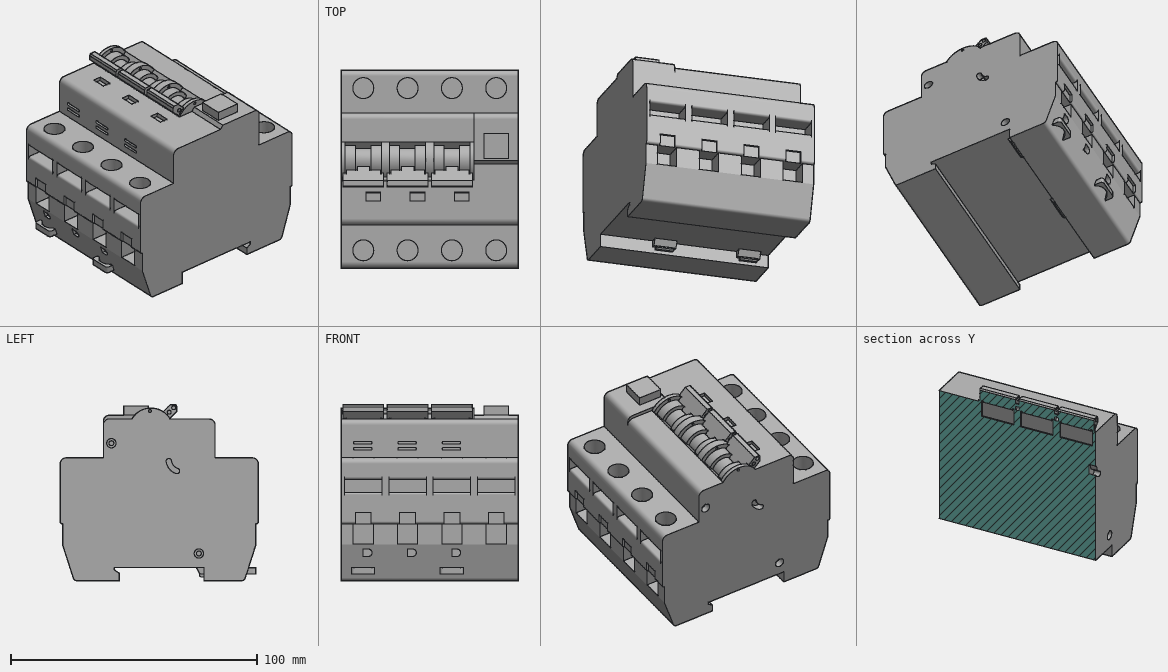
import cadquery as cq
import math


module_width = 18.0
pole_count = 3
module_count = 4
total_width = module_count * module_width
poles_width = pole_count * module_width

half_depth = 40.3
skirt_half_depth = 39.3
foot_half_depth = 34.6
crown_half_depth = 22.75
foot_slope_top = 14.6
skirt_top = 23.1
shoulder_height = 50.0
crown_height = 65.75
edge_radius = 2.5
foot_radius = 1.6
skirt_lip_radius = 0.95

rail_front = -18.1
rail_rear = 16.2
rail_height = 5.4
rail_lip_undercut = 2.0
rail_lip_top = 4.4
rail_lip_bottom = 3.1

drum_y = 3.35
drum_z = 61.2
disc_radius = 9.0
drum_radius = 7.1
drum_groove_radius = 5.4
disc_half_width = 1.65
groove_start = 5.8
groove_end = 12.1
pinhole_diameter = 1.0
pinhole_y = 3.75
pinhole_z = 69.05
pocket_front = drum_y - math.sqrt(disc_radius**2 - (crown_height - drum_z) ** 2)
pocket_rear = 2 * drum_y - pocket_front
pocket_floor = 59.0

handle_top = 71.57
handle_front = -7.2
handle_ridge_y = -4.5
handle_nose_setback = 0.4
handle_nose_drop = 0.9
handle_nose_bottom = 68.8
bar_span = (0.7, 17.3)
arm_span = (2.2, 15.9)
tab_span = (6.55, 11.5)
tie_diameter = 1.6
tie_rod_y = -4.05
tie_rod_z = 68.5
tie_rod_overhang = 0.1
tie_hole_y = -5.85
tie_hole_z = 70.3
tie_hole_depth = 2.0

roof_height = 67.3
roof_front_top = 3.45
roof_front_foot = 2.2
button_size = 10.1
button_x = 63.0
button_y = 9.45
button_top = 71.1

screw_diameter = 8.5
screw_y = 32.95
screw_depth = 7.0
module_centre = module_width / 2
window_width = 15.3
window_bottom = 34.9
window_top = 42.1
window_lip_radius = 1.0
window_depth = 8.0
gate_width = 8.2
gate_bottom = 14.9
gate_depth = 8.0
tab_width = 6.4
tab_top = 27.8
tab_depth = 1.0

vent_length = 7.5
vent_height = 1.1
vent_x = 8.8
vent_heights = (53.6, 56.1)
vent_depth = 1.0
flag_width = 6.0
flag_length = 3.5
flag_x = 13.0
flag_y = -11.1
flag_depth = 1.5
flag_rear_slope = 0.3
probe_start = 8.95
probe_end = 12.55
probe_z = 11.4
probe_height = 3.0
probe_floor_y = -36.5

first_clip_start = 4.2
clip_starts = (first_clip_start, first_clip_start + 2 * module_width)
clip_width = 9.42
clip_bottom = 2.7
clip_front = -39.3
clip_corner = 1.1
clip_notch_radius = 4.5
clip_notch_front = -38.2
clip_tip = -15.0
clip_tip_setback = 1.5
clip_hook_bottom = 1.5
clip_hook_rear = -16.3
clip_hook_chamfer = 0.6
clip_hook_inset = 1.0

rivet_places = ((19.45, 55.9), (-16.1, 11.1))
rivet_diameter = 3.8
rivet_bore = 2.0
rivet_recess_depth = 3.0
rivet_bore_depth = 5.0
link_slot_width = 2.2
link_slot_start = (-3.9, 48.6)
link_slot_middle = (-4.9, 46.2)
link_slot_end = (-7.2, 44.6)
link_slot_depth = 3.0


def box(x_span, y_span, z_span):
    """Axis-aligned box between pairs of limits."""
    sizes = [high - low for low, high in (x_span, y_span, z_span)]
    return cq.Workplane("XY").box(*sizes, centered=False).translate((x_span[0], y_span[0], z_span[0]))


def side_sketch(x_start):
    """Workplane whose local axes are Y and Z and whose normal is +X."""
    return cq.Workplane("YZ", origin=(x_start, 0, 0))


def prism(points, x_span):
    """Polygon of (Y, Z) points swept along X."""
    return side_sketch(x_span[0]).polyline(points).close().extrude(x_span[1] - x_span[0])


def rod(y, z, radius, x_span):
    """Round bar along X."""
    return side_sketch(x_span[0]).center(y, z).circle(radius).extrude(x_span[1] - x_span[0])


def drum(radius, x_span):
    """Cylinder on the common axis of the switch drums."""
    return rod(drum_y, drum_z, radius, x_span)


def mirrored(shape):
    """The shape together with its copy on the opposite terminal side."""
    return shape.union(shape.mirror("XZ"))


def at_modules(shape, count):
    """Copies of a first-module shape in the first `count` modules."""
    copies = shape
    for index in range(1, count):
        copies = copies.union(shape.translate((index * module_width, 0, 0)))
    return copies


def edge_at(y, z):
    """Selector for the edge along X that passes through (y, z)."""
    margin = 0.05
    return cq.selectors.BoxSelector(
        (-margin, y - margin, z - margin), (total_width + margin, y + margin, z + margin)
    )


def centred_span(width):
    """X limits of a feature centred in the first module."""
    return (module_centre - width / 2, module_centre + width / 2)


def make_housing():
    half_outline = [
        (foot_half_depth, 0),
        (skirt_half_depth, foot_slope_top),
        (skirt_half_depth, skirt_top),
        (half_depth, skirt_top),
        (half_depth, shoulder_height),
        (crown_half_depth, shoulder_height),
        (crown_half_depth, crown_height),
    ]
    rear_half = [(-y, z) for y, z in reversed(half_outline)]
    housing = prism(half_outline + rear_half, (0, total_width))
    for y in (-crown_half_depth, crown_half_depth):
        housing = housing.edges(edge_at(y, crown_height)).fillet(edge_radius)
    for y in (-half_depth, half_depth):
        housing = housing.edges(edge_at(y, shoulder_height)).fillet(edge_radius)
        housing = housing.edges(edge_at(y, skirt_top)).fillet(skirt_lip_radius)
    for y in (-foot_half_depth, foot_half_depth):
        housing = housing.edges(edge_at(y, 0)).fillet(foot_radius)
    channel = [
        (rail_front, 0),
        (rail_front, rail_height),
        (rail_rear + rail_lip_undercut, rail_height),
        (rail_rear + rail_lip_undercut, rail_lip_top),
        (rail_rear, rail_lip_bottom),
        (rail_rear, 0),
    ]
    return housing.cut(prism(channel, (0, total_width)))


def make_trip_roof():
    outline = [
        (roof_front_foot, crown_height - edge_radius),
        (roof_front_foot, crown_height),
        (roof_front_top, roof_height),
        (crown_half_depth, roof_height),
        (crown_half_depth, crown_height - edge_radius),
    ]
    roof = prism(outline, (poles_width, total_width))
    roof = roof.edges(edge_at(crown_half_depth, roof_height)).fillet(edge_radius)
    half = button_size / 2
    button = box(
        (button_x - half, button_x + half), (button_y - half, button_y + half), (crown_height, button_top)
    )
    return roof.union(button)


def make_drum_pocket():
    rear_floor = pocket_rear - (crown_height - pocket_floor)
    outline = [
        (pocket_front, pocket_floor),
        (rear_floor, pocket_floor),
        (pocket_rear, crown_height),
        (pocket_front, crown_height),
    ]
    return prism(outline, (disc_half_width, module_width - disc_half_width))


def make_drums():
    chamber = (disc_half_width, module_width - disc_half_width)
    core = drum(drum_groove_radius, chamber)
    left_collar = drum(drum_radius, (chamber[0], groove_start))
    right_collar = drum(drum_radius, (groove_end, chamber[1]))
    return at_modules(core.union(left_collar).union(right_collar), pole_count)


def make_discs():
    discs = drum(disc_radius, (0, disc_half_width))
    for index in range(1, pole_count):
        boundary = index * module_width
        discs = discs.union(drum(disc_radius, (boundary - disc_half_width, boundary + disc_half_width)))
    return discs.union(drum(disc_radius, (poles_width - disc_half_width, poles_width)))


def make_handles():
    root_y = drum_y - drum_groove_radius / 2
    upper_root = (drum_y, handle_top - (drum_y - handle_ridge_y))
    lower_root = (root_y, handle_nose_bottom - (root_y - handle_front))
    outline = [
        (handle_ridge_y, handle_top),
        (handle_front + handle_nose_setback, handle_top),
        (handle_front, handle_top - handle_nose_drop),
        (handle_front, handle_nose_bottom),
        lower_root,
        upper_root,
    ]
    bar = prism(outline, bar_span).cut(drum(disc_radius, bar_span))
    arm = prism(outline, arm_span).cut(drum(drum_radius, arm_span))
    tab = prism(outline, tab_span)
    handle = bar.union(arm).union(tab)
    hole = rod(tie_hole_y, tie_hole_z, tie_diameter / 2, (bar_span[0], bar_span[0] + tie_hole_depth))
    handles = at_modules(handle.cut(hole), pole_count)
    rod_start = bar_span[0] - tie_rod_overhang
    rod_end = poles_width - module_width + bar_span[1] + tie_rod_overhang
    return handles.union(rod(tie_rod_y, tie_rod_z, tie_diameter / 2, (rod_start, rod_end)))


def make_window():
    """Conductor opening whose upper and lower lips are rounded outwards."""
    radius = window_lip_radius
    face = -half_depth
    rear = face + window_depth
    roof = window_top - radius
    floor = window_bottom + radius
    bulge = radius * (1 - math.sqrt(0.5))
    x_start, x_end = centred_span(window_width)
    return (
        side_sketch(x_start)
        .moveTo(face, window_bottom)
        .lineTo(face, window_top)
        .threePointArc((face + bulge, roof + bulge), (face + radius, roof))
        .lineTo(rear, roof)
        .lineTo(rear, floor)
        .lineTo(face + radius, floor)
        .threePointArc((face + bulge, floor - bulge), (face, window_bottom))
        .close()
        .extrude(x_end - x_start)
    )


def make_terminal_cuts():
    screw = (
        cq.Workplane("XY", origin=(module_centre, -screw_y, shoulder_height - screw_depth))
        .circle(screw_diameter / 2)
        .extrude(screw_depth)
    )
    window = make_window()
    gate_rear = -skirt_half_depth + gate_depth
    gate = box(centred_span(gate_width), (-half_depth, gate_rear), (gate_bottom, skirt_top))
    tab = box(centred_span(tab_width), (-half_depth, -half_depth + tab_depth), (skirt_top, tab_top))
    return at_modules(mirrored(screw.union(window).union(gate).union(tab)), module_count)


def make_pole_cuts():
    vents = (
        cq.Workplane("XZ", origin=(0, -crown_half_depth, 0))
        .pushPoints([(vent_x, z) for z in vent_heights])
        .slot2D(vent_length, vent_height)
        .extrude(-vent_depth)
    )
    flag_front = flag_y - flag_length / 2
    flag_rear = flag_y + flag_length / 2
    flag_outline = [
        (flag_front, crown_height - flag_depth),
        (flag_rear - flag_rear_slope, crown_height - flag_depth),
        (flag_rear, crown_height),
        (flag_front, crown_height),
    ]
    flag = prism(flag_outline, (flag_x - flag_width / 2, flag_x + flag_width / 2))
    half_height = probe_height / 2
    probe = (
        cq.Workplane("XZ", origin=(0, probe_floor_y, 0))
        .moveTo(probe_start, probe_z - half_height)
        .lineTo(probe_end - half_height, probe_z - half_height)
        .threePointArc((probe_end, probe_z), (probe_end - half_height, probe_z + half_height))
        .lineTo(probe_start, probe_z + half_height)
        .close()
        .extrude(half_depth + probe_floor_y)
    )
    return at_modules(vents.union(flag).union(probe), pole_count)


def make_clip(x_start):
    x_span = (x_start, x_start + clip_width)
    slider_outline = [
        (clip_front, clip_bottom),
        (clip_tip - clip_tip_setback, clip_bottom),
        (clip_tip, rail_height),
        (clip_front, rail_height),
    ]
    slider = prism(slider_outline, x_span).edges("|Z and <Y").fillet(clip_corner)
    notch_x = x_start + clip_width / 2
    notch_y = clip_notch_front + clip_notch_radius
    notch = (
        cq.Workplane("XY", origin=(notch_x, notch_y, clip_bottom))
        .circle(clip_notch_radius)
        .extrude(rail_height - clip_bottom)
    )
    slider = slider.cut(notch)
    hook_outline = [
        (rail_front, clip_hook_bottom),
        (clip_hook_rear - clip_hook_chamfer, clip_hook_bottom),
        (clip_hook_rear, clip_hook_bottom + clip_hook_chamfer),
        (clip_hook_rear, clip_bottom),
        (rail_front, clip_bottom),
    ]
    hook = prism(hook_outline, (x_span[0] + clip_hook_inset, x_span[1] - clip_hook_inset))
    return slider.union(hook)


def make_side_cuts():
    rivets = side_sketch(0).pushPoints(rivet_places).circle(rivet_diameter / 2).extrude(rivet_recess_depth)
    bores = side_sketch(0).pushPoints(rivet_places).circle(rivet_bore / 2).extrude(rivet_bore_depth)
    centre_line = side_sketch(0).moveTo(*link_slot_start).threePointArc(link_slot_middle, link_slot_end)
    link_slot = cq.Workplane("YZ").add(centre_line.wire().val().offset2D(link_slot_width / 2)[0])
    link_slot = link_slot.toPending().extrude(link_slot_depth)
    return rivets.union(bores).union(link_slot)


result = make_housing()
result = result.cut(at_modules(make_drum_pocket(), pole_count))
result = result.union(make_discs()).union(make_drums())
result = result.union(make_trip_roof())
result = result.cut(rod(pinhole_y, pinhole_z, pinhole_diameter / 2, (0, total_width)))
result = result.union(make_handles())
result = result.cut(make_terminal_cuts()).cut(make_pole_cuts()).cut(make_side_cuts())
for clip_start in clip_starts:
    result = result.union(make_clip(clip_start))